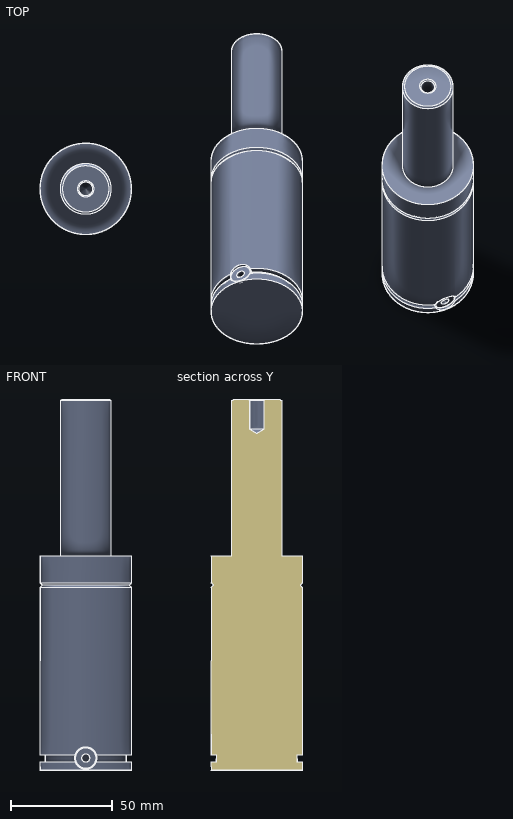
import cadquery as cq
import math

total_height = 182.0
body_diameter = 45.0
body_height = 105.2
rod_diameter = 25.0

rod_bevel_width = 1.1
rod_bevel_height = 0.58
rod_hole_diameter = 6.7
rod_hole_mouth_diameter = 8.0
rod_hole_depth = 14.5
drill_point_angle = 118.0

v_groove_center = 90.8
v_groove_width = 2.2
mount_groove_bottom = 4.2
mount_groove_width = 3.3
mount_groove_depth = 2.5

plug_diameter = 11.0
plug_face_diameter = 10.0
plug_center_z = 6.0
plug_recess = 1.1
plug_length = 7.3
plug_hole_diameter = 4.0
plug_hole_depth = 5.5

body_radius = body_diameter / 2
rod_radius = rod_diameter / 2


def make_cylinder_and_rod():
    """Revolve the half profile of the body, its grooves and the rod."""
    groove_radius = body_radius - mount_groove_depth
    mount_groove_top = mount_groove_bottom + mount_groove_width
    v_half_width = v_groove_width / 2
    profile = [
        (0, 0),
        (body_radius, 0),
        (body_radius, mount_groove_bottom),
        (groove_radius, mount_groove_bottom),
        (groove_radius, mount_groove_top),
        (body_radius, mount_groove_top),
        (body_radius, v_groove_center - v_half_width),
        (body_radius - v_half_width, v_groove_center),
        (body_radius, v_groove_center + v_half_width),
        (body_radius, body_height),
        (rod_radius, body_height),
        (rod_radius, total_height - rod_bevel_height),
        (rod_radius - rod_bevel_width, total_height),
        (0, total_height),
    ]
    return cq.Workplane("XZ").polyline(profile).close().revolve(360, (0, 0), (0, 1))


def make_rod_hole():
    """Countersunk blind hole with a conical drill point."""
    hole_radius = rod_hole_diameter / 2
    mouth_radius = rod_hole_mouth_diameter / 2
    shoulder_z = total_height - rod_hole_depth
    point_length = hole_radius / math.tan(math.radians(drill_point_angle / 2))
    profile = [
        (0, shoulder_z - point_length),
        (hole_radius, shoulder_z),
        (hole_radius, total_height - (mouth_radius - hole_radius)),
        (mouth_radius, total_height),
        (0, total_height),
    ]
    return cq.Workplane("XZ").polyline(profile).close().revolve(360, (0, 0), (0, 1))


def disc_toward_center(diameter, start_y, length):
    """Cylinder on the plug axis, running from start_y in the +Y direction."""
    plane = cq.Workplane("XZ", origin=(0, start_y, plug_center_z))
    return plane.circle(diameter / 2).extrude(-length)


def add_valve_plug(part):
    """Cut the plug seat and fill it with a bevelled, drilled plug below the surface."""
    face_y = plug_recess - body_radius
    seat = disc_toward_center(plug_diameter, -body_radius, plug_recess + plug_length)
    plug_bevel = (plug_diameter - plug_face_diameter) / 2
    plug = disc_toward_center(plug_diameter, face_y, plug_length).faces("<Y").chamfer(plug_bevel)
    plug_hole = disc_toward_center(plug_hole_diameter, face_y, plug_hole_depth)
    return part.cut(seat).union(plug).cut(plug_hole)


result = add_valve_plug(make_cylinder_and_rod().cut(make_rod_hole()))